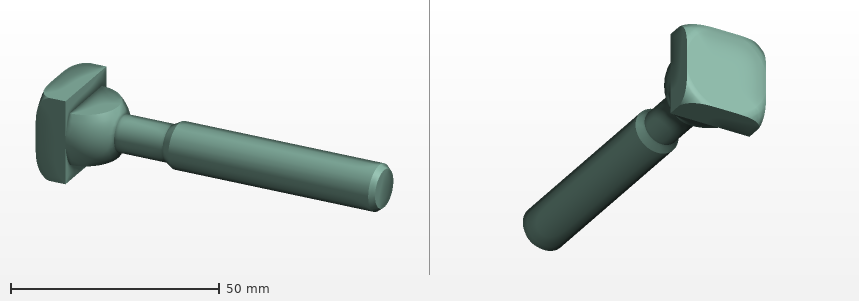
import cadquery as cq

total_length = 88.0
head_width = 22.0
head_thickness = 8.0
head_face_radius = 11.3
head_corner_rounding = 4.3

ball_radius = head_width / 2
ball_flats_width = 13.6

neck_diameter = 9.5
shank_diameter = 12.0
shoulder_start = 30.9
shoulder_length = 2.2
tip_chamfer_length = 1.3
tip_chamfer_depth = 1.1


def make_head():
    """Square head whose front corners are rounded by a turned profile."""
    block = cq.Workplane("YZ").rect(head_width, head_width).extrude(head_thickness)
    turned_radius = head_face_radius + head_corner_rounding
    turned_blank = (
        cq.Workplane("YZ")
        .circle(turned_radius)
        .extrude(head_thickness)
        .faces("<X")
        .edges()
        .fillet(head_corner_rounding)
    )
    return block.intersect(turned_blank)


def make_ball():
    """Half ball behind the head, cut flat above and below."""
    slab = cq.Workplane("XY").box(
        ball_radius, head_width, ball_flats_width, centered=(False, True, True)
    )
    half_ball = cq.Workplane("XY").sphere(ball_radius).intersect(slab)
    return half_ball.translate((head_thickness, 0, 0))


def make_stem():
    """Neck, conical shoulder and chamfered shank, turned about X."""
    neck_radius = neck_diameter / 2
    shank_radius = shank_diameter / 2
    return (
        cq.Workplane("XY")
        .moveTo(head_thickness, 0)
        .lineTo(head_thickness, neck_radius)
        .lineTo(shoulder_start, neck_radius)
        .lineTo(shoulder_start + shoulder_length, shank_radius)
        .lineTo(total_length - tip_chamfer_length, shank_radius)
        .lineTo(total_length, shank_radius - tip_chamfer_depth)
        .lineTo(total_length, 0)
        .close()
        .revolve(360, (0, 0, 0), (1, 0, 0))
    )


result = make_head().union(make_ball()).union(make_stem())